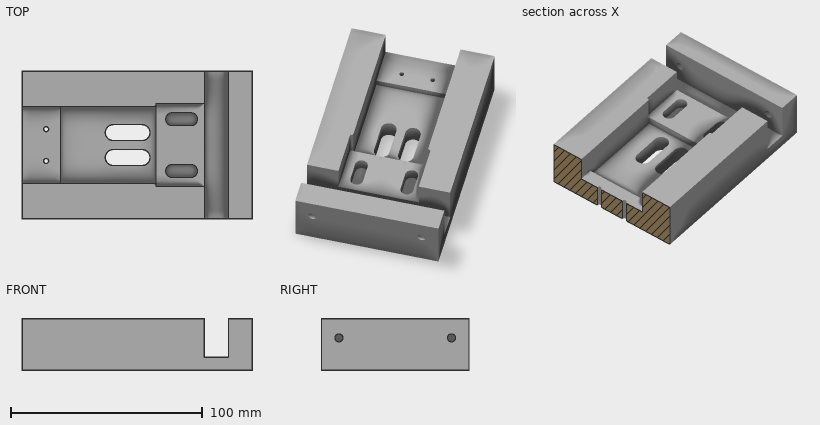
import cadquery as cq

LENGTH = 120.0
WIDTH = 77.0
HEIGHT = 27.0

CHANNEL_WIDTH = 40.2
LEDGE_LENGTH = 20.0
LEDGE_TOP = 13.0
FLOOR_TOP = 9.5

PLATFORM_START = 69.8
PLATFORM_SIDE_STEP = 1.5
PLATFORM_WIDTH = CHANNEL_WIDTH + 2 * PLATFORM_SIDE_STEP
PLATFORM_TOP = 14.0
PLATFORM_CORNER_RADIUS = 1.0

GROOVE_START = 95.0
GROOVE_WIDTH = 12.5
GROOVE_FLOOR = 7.0
WALL_START = GROOVE_START + GROOVE_WIDTH

LEDGE_HOLE_DIAMETER = 2.5
LEDGE_HOLE_X = 12.5
LEDGE_HOLE_SPACING = 16.6

FLOOR_SLOT_WIDTH = 8.2
FLOOR_SLOT_TRAVEL = 15.0
FLOOR_SLOT_X = 55.0
FLOOR_SLOT_SPACING = 13.0

PLATFORM_SLOT_WIDTH = 6.8
PLATFORM_SLOT_TRAVEL = 9.8
PLATFORM_SLOT_X = 83.1
PLATFORM_SLOT_SPACING = 27.0
PLATFORM_SLOT_DEPTH = 6.2

WALL_HOLE_DIAMETER = 4.2
WALL_HOLE_Z = 17.0
WALL_HOLE_SPACING = 58.7


def pocket(x_start, x_end, width, floor):
    """Box centred on y = 0, from the floor height up to the block top."""
    return (
        cq.Workplane("XY", origin=(x_start, 0, floor))
        .box(x_end - x_start, width, HEIGHT - floor, centered=(False, True, False))
    )


def mirrored_pair(spacing):
    """Two positions placed evenly about the centre line."""
    return [(0, -spacing / 2), (0, spacing / 2)]


def vertical_slots(x, spacing, travel, width, bottom, top):
    """Two round-ended slots along X; travel is the distance between end centres."""
    return (
        cq.Workplane("XY", origin=(x, 0, bottom))
        .pushPoints(mirrored_pair(spacing))
        .slot2D(travel + width, width)
        .extrude(top - bottom)
    )


def platform_pocket():
    """Widened pocket above the platform, with its convex entry corners rounded off."""
    radius = PLATFORM_CORNER_RADIUS
    rounding_start = PLATFORM_START - radius
    rounding_width = CHANNEL_WIDTH + 2 * radius
    posts = (
        cq.Workplane("XY", origin=(rounding_start, 0, PLATFORM_TOP))
        .pushPoints(mirrored_pair(rounding_width))
        .circle(radius)
        .extrude(HEIGHT - PLATFORM_TOP)
    )
    entry = pocket(rounding_start, PLATFORM_START, rounding_width, PLATFORM_TOP).cut(posts)
    return pocket(PLATFORM_START, GROOVE_START, PLATFORM_WIDTH, PLATFORM_TOP).union(entry)


def ledge_holes():
    """Cutters for the two vertical holes through the ledge."""
    return (
        cq.Workplane("XY", origin=(LEDGE_HOLE_X, 0, 0))
        .pushPoints(mirrored_pair(LEDGE_HOLE_SPACING))
        .circle(LEDGE_HOLE_DIAMETER / 2)
        .extrude(LEDGE_TOP)
    )


def wall_holes():
    """Cutters for the two lengthwise holes through the end wall."""
    half_spacing = WALL_HOLE_SPACING / 2
    return (
        cq.Workplane("YZ", origin=(WALL_START, 0, WALL_HOLE_Z))
        .pushPoints([(-half_spacing, 0), (half_spacing, 0)])
        .circle(WALL_HOLE_DIAMETER / 2)
        .extrude(LENGTH - WALL_START)
    )


block = cq.Workplane("XY").box(LENGTH, WIDTH, HEIGHT, centered=(False, True, False))

result = (
    block
    .cut(pocket(0, LEDGE_LENGTH, CHANNEL_WIDTH, LEDGE_TOP))
    .cut(pocket(LEDGE_LENGTH, PLATFORM_START, CHANNEL_WIDTH, FLOOR_TOP))
    .cut(platform_pocket())
    .cut(pocket(GROOVE_START, WALL_START, WIDTH, GROOVE_FLOOR))
    .cut(ledge_holes())
    .cut(vertical_slots(
        FLOOR_SLOT_X, FLOOR_SLOT_SPACING, FLOOR_SLOT_TRAVEL, FLOOR_SLOT_WIDTH, 0, FLOOR_TOP,
    ))
    .cut(vertical_slots(
        PLATFORM_SLOT_X, PLATFORM_SLOT_SPACING, PLATFORM_SLOT_TRAVEL, PLATFORM_SLOT_WIDTH,
        PLATFORM_TOP - PLATFORM_SLOT_DEPTH, PLATFORM_TOP,
    ))
    .cut(wall_holes())
)